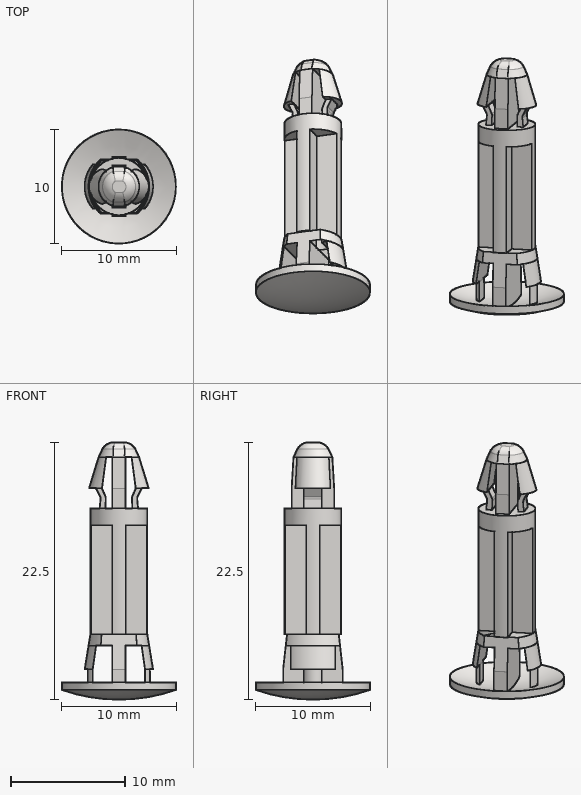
import cadquery as cq
import math

rim_bottom = 0.85
rim_top = 1.53
lower_barb_bottom = 2.68
collar_bottom = 4.72
collar_top = 5.72
hub_bottom = 15.23
hub_top = 16.72
spring_kink = 17.68
upper_barb_bottom = 18.5
head_bottom = 21.2
head_middle = 21.94
tip = 22.5

base_radius = 5.0
base_thickness = rim_top - rim_bottom
leg_root = base_thickness / 2
column_radius = 2.5
web_thickness = 1.2

collar_top_half_y = 2.27
foot_half_y = 2.6
collar_flat_top_half_x = 1.5
collar_flat_bottom_half_x = 1.58
lower_barb_reach = 3.0
lower_barb_inner_x = 2.27
lower_barb_root_inner_x = 1.98
lower_barb_half_width = 1.94
leg_reach = 2.72
leg_half_width = 0.79

collar_share = (collar_top - collar_bottom) / (collar_top - lower_barb_bottom)
collar_bottom_half_x = column_radius + collar_share * (lower_barb_reach - column_radius)
collar_bottom_half_y = collar_top_half_y + collar_share * (foot_half_y - collar_top_half_y)

head_radius = 1.78
head_middle_radius = 1.45
tip_radius = web_thickness / 2
head_flat_half_y = 1.7
head_middle_flat_half_y = 1.35
tip_flat_half_y = 0.5
upper_web_half_y = 1.87
upper_barb_reach = 2.6
upper_barb_inner_x = 1.46
upper_barb_half_width = 1.53
upper_barb_root_inner_x = 1.1
upper_barb_root_half_width = 1.4

tip_round_mid_height = 22.3
tip_round_mid_radius = 1.1
tip_round_mid_half_y = 1.01

spring_foot = (1.17, 1.69)
spring_bend = (1.12, 1.6)
spring_top = (1.48, 2.02)
spring_bend_radius = 0.45
selection_margin = 0.02


def add_segment(plane, inner_x, outer_x, half_width):
    """Draw a flat-backed circular segment that bulges toward +X."""
    return (
        plane.moveTo(inner_x, -half_width)
        .threePointArc((outer_x, 0), (inner_x, half_width))
        .close()
    )


def barb(bottom, bottom_segment, top, top_segment):
    """Loft a barb between two segments given as (inner x, outer x, half width)."""
    lower = add_segment(cq.Workplane("XY").workplane(offset=bottom), *bottom_segment)
    return add_segment(lower.workplane(offset=top - bottom), *top_segment).loft(ruled=True)


def web(half_outline):
    """Make a central web from its +Y edge, given as (y, z) points going up."""
    mirrored = [(-y, z) for y, z in reversed(half_outline)]
    return cq.Workplane("YZ").polyline(half_outline + mirrored).close().extrude(web_thickness / 2, both=True)


def disc(radius, bottom, top):
    return cq.Workplane("XY").workplane(offset=bottom).circle(radius).extrude(top - bottom)


def on_both_sides(body):
    return body.union(body.mirror("YZ"))


def base():
    """Round foot with a domed underside and a shallow dished top."""
    sphere_radius = (base_radius**2 + rim_bottom**2) / (2 * rim_bottom)
    mid_radius = base_radius / 2
    mid_height = sphere_radius - math.sqrt(sphere_radius**2 - mid_radius**2)
    return (
        cq.Workplane("XZ")
        .moveTo(0, 0)
        .threePointArc((mid_radius, mid_height), (base_radius, rim_bottom))
        .lineTo(base_radius, rim_top)
        .threePointArc((mid_radius, mid_height + base_thickness), (0, base_thickness))
        .close()
        .revolve(360, (0, 0, 0), (0, 1, 0))
    )


def add_collar_outline(plane, half_x, flat_half_x, half_y):
    return (
        plane.moveTo(-flat_half_x, -half_y)
        .lineTo(flat_half_x, -half_y)
        .threePointArc((half_x, 0), (flat_half_x, half_y))
        .lineTo(-flat_half_x, half_y)
        .threePointArc((-half_x, 0), (-flat_half_x, -half_y))
        .close()
    )


def collar():
    """Tapered block with flat front and back that carries the lower barbs."""
    lower = add_collar_outline(
        cq.Workplane("XY").workplane(offset=collar_bottom),
        collar_bottom_half_x, collar_flat_bottom_half_x, collar_bottom_half_y,
    )
    upper = lower.workplane(offset=collar_top - collar_bottom)
    return add_collar_outline(upper, column_radius, collar_flat_top_half_x, collar_top_half_y).loft(ruled=True)


def lower_clip():
    center_web = web([
        (foot_half_y, leg_root),
        (foot_half_y, lower_barb_bottom),
        (collar_bottom_half_y, collar_bottom),
    ])
    side_barb = barb(
        lower_barb_bottom, (lower_barb_inner_x, lower_barb_reach, lower_barb_half_width),
        collar_bottom, (lower_barb_root_inner_x, collar_bottom_half_x, lower_barb_half_width),
    )
    leg_plane = cq.Workplane("XY").workplane(offset=leg_root)
    leg_outline = add_segment(leg_plane, lower_barb_inner_x, leg_reach, leg_half_width)
    leg = leg_outline.extrude(lower_barb_bottom - leg_root)
    return center_web.union(collar()).union(on_both_sides(side_barb.union(leg)))


def column():
    """Cross-shaped shaft with rounded ends, topped by a round hub."""
    height = hub_bottom - collar_top
    arm_plane = cq.Workplane("XY").workplane(offset=collar_top)
    arm_x = arm_plane.rect(2 * column_radius, web_thickness).extrude(height)
    arm_y = arm_plane.rect(web_thickness, 2 * column_radius).extrude(height)
    cross = arm_x.union(arm_y).intersect(disc(column_radius, collar_top, hub_bottom))
    return cross.union(disc(column_radius, hub_bottom, hub_top))


def head():
    """Rounded tip, flattened toward -Y and +Y."""
    round_head = (
        cq.Workplane("XZ")
        .moveTo(0, head_bottom)
        .lineTo(head_radius, head_bottom)
        .lineTo(head_middle_radius, head_middle)
        .threePointArc((tip_round_mid_radius, tip_round_mid_height), (tip_radius, tip))
        .lineTo(0, tip)
        .close()
        .revolve(360, (0, 0, 0), (0, 1, 0))
    )
    flattened = (
        cq.Workplane("YZ")
        .moveTo(-head_flat_half_y, head_bottom)
        .lineTo(head_flat_half_y, head_bottom)
        .lineTo(head_middle_flat_half_y, head_middle)
        .threePointArc((tip_round_mid_half_y, tip_round_mid_height), (tip_flat_half_y, tip))
        .lineTo(-tip_flat_half_y, tip)
        .threePointArc((-tip_round_mid_half_y, tip_round_mid_height), (-head_middle_flat_half_y, head_middle))
        .close()
        .extrude(head_radius, both=True)
    )
    return round_head.intersect(flattened)


def upper_clip():
    center_web = web([
        (upper_web_half_y, hub_top),
        (upper_web_half_y, upper_barb_bottom),
        (head_flat_half_y, head_bottom),
    ])
    side_barb = barb(
        upper_barb_bottom, (upper_barb_inner_x, upper_barb_reach, upper_barb_half_width),
        head_bottom, (upper_barb_root_inner_x, head_radius, upper_barb_root_half_width),
    )
    spring = (
        cq.Workplane("XZ")
        .polyline([
            (spring_foot[0], hub_top),
            (spring_foot[1], hub_top),
            (spring_bend[1], spring_kink),
            (spring_top[1], upper_barb_bottom),
            (spring_top[0], upper_barb_bottom),
            (spring_bend[0], spring_kink),
        ])
        .close()
        .extrude(leg_half_width, both=True)
        .edges(cq.selectors.BoxSelector(
            (0, -column_radius, spring_kink - selection_margin),
            (column_radius, column_radius, spring_kink + selection_margin),
        ))
        .edges("|Y")
        .fillet(spring_bend_radius)
    )
    return center_web.union(head()).union(on_both_sides(side_barb.union(spring)))


result = base().union(lower_clip()).union(column()).union(upper_clip())